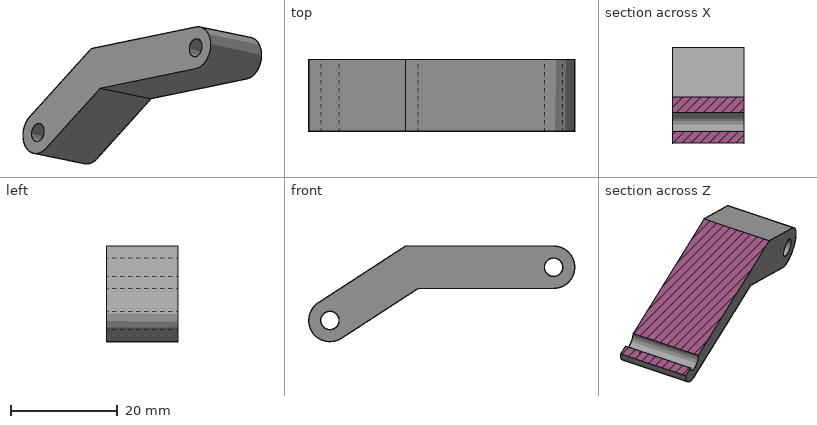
import cadquery as cq
import math

width = 13.5
end_radius = 4.0
hole_diameter = 3.4
hole_span_x = 42.0
hole_rise_z = 10.0
slope_angle = 33.0

lower_pivot = (0.0, 0.0)
upper_pivot = (hole_span_x, hole_rise_z)
slope = math.radians(slope_angle)
elbow_x = hole_rise_z / math.tan(slope)

elbow_shift = end_radius * math.tan(slope / 2)
tangent_x = end_radius * math.sin(slope)
tangent_z = end_radius * math.cos(slope)

lower_tip = (-end_radius * math.cos(slope), -end_radius * math.sin(slope))

top_z = hole_rise_z + end_radius
bottom_z = hole_rise_z - end_radius


def make_link_body():
    """Bent bar of constant height with a full round at each end."""
    return (
        cq.Workplane("XZ")
        .moveTo(-tangent_x, tangent_z)
        .lineTo(elbow_x - elbow_shift, top_z)
        .lineTo(hole_span_x, top_z)
        .threePointArc((hole_span_x + end_radius, hole_rise_z), (hole_span_x, bottom_z))
        .lineTo(elbow_x + elbow_shift, bottom_z)
        .lineTo(tangent_x, -tangent_z)
        .threePointArc(lower_tip, (-tangent_x, tangent_z))
        .close()
        .extrude(width / 2, both=True)
    )


def make_pivot_holes():
    """Cylinders that pass through the full width at both pivots."""
    return (
        cq.Workplane("XZ")
        .pushPoints([lower_pivot, upper_pivot])
        .circle(hole_diameter / 2)
        .extrude(width / 2, both=True)
    )


result = make_link_body().cut(make_pivot_holes())